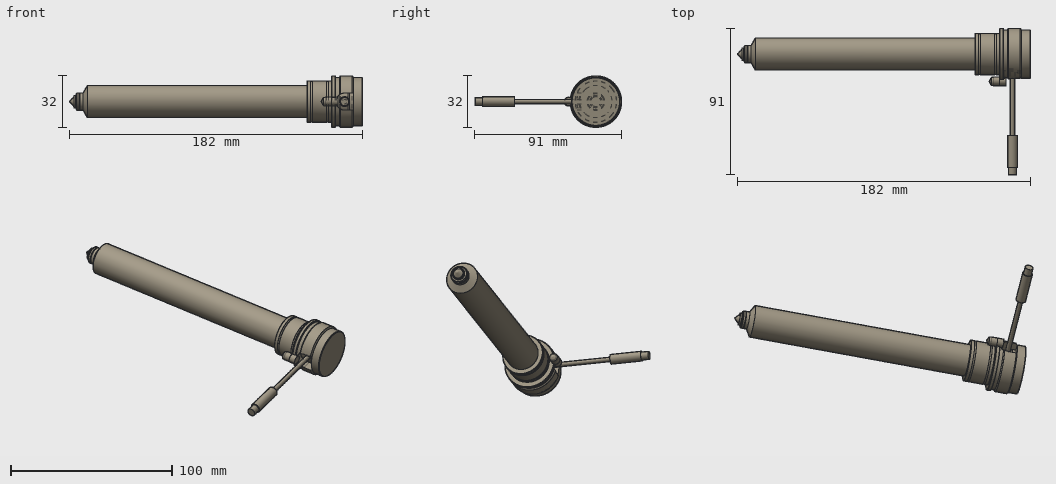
import cadquery as cq


point_radius = 3.1
point_length = 3.0
neck_radius = 3.8
neck_end = 4.0
shank_radius = 5.5
shank_start = 4.4
shank_end = 8.5
shank_chamfer = 0.5
shank_groove_start = 6.2
shank_groove_width = 0.4

tube_radius = 10.0
tube_start = 11.3
collar_radius = 13.0
collar_start = 147.6
collar_chamfer = 0.2
collar_groove_starts = [149.8, 159.8]
collar_groove_width = 1.1
groove_depth = 0.2

flange_radius = 16.0
flange_start = 162.9
flange_end = 165.3
flange_chamfer = 0.27
ring_radius = 15.1
ring_chamfer = 0.4
band_radius = flange_radius
band_start = 167.6
band_end = 176.4
band_taper = 0.7
total_length = 182.0

cable_x = 170.9
recess_radius = 5.3
core_radius = 10.5
core_end = 173.0
step_radius = 11.8
step_start = 174.0

cable_radius = 1.5
cable_seat = core_radius - cable_radius
plug_radius = 3.1
plug_start = 50.5
plug_end = 70.3
contact_radius = 2.5
contact_end = 75.0

pin_y = -17.0
pin_radius = 2.7
pin_start = 156.3
pin_point_radius = 1.8
pin_point_end = 157.2
pin_shoulder_radius = 2.5
pin_shoulder_end = 157.8
pin_taper_end = 159.0
boss_end = 166.9


def turned(profile):
    """Solid of revolution about X from a closed profile of (x, radius) points."""
    return profile.close().revolve(360, (0, 0, 0), (1, 0, 0))


def groove(start, width, radius):
    """Ring to cut from a cylinder of the given radius about the main axis."""
    ring = cq.Workplane("YZ", origin=(start, 0, 0))
    return ring.circle(radius + groove_depth).circle(radius - groove_depth).extrude(width)


def rod_along_y(radius, start, end):
    """Cylinder about the cable axis between two distances towards -Y."""
    return cq.Workplane("XZ", origin=(cable_x, -start, 0)).circle(radius).extrude(end - start)


def make_housing():
    profile = cq.Workplane("XY").polyline([
        (0, 0),
        (point_length, point_radius),
        (point_length, neck_radius),
        (neck_end, neck_radius),
        (shank_start, shank_radius - shank_chamfer),
        (shank_start + shank_chamfer, shank_radius),
        (shank_end, shank_radius),
        (tube_start, tube_radius),
        (collar_start, tube_radius),
        (collar_start, collar_radius - collar_chamfer),
        (collar_start + collar_chamfer, collar_radius),
        (flange_start - collar_chamfer, collar_radius),
        (flange_start, collar_radius - collar_chamfer),
        (flange_start, 0),
    ])
    housing = turned(profile).cut(groove(shank_groove_start, shank_groove_width, shank_radius))
    for start in collar_groove_starts:
        housing = housing.cut(groove(start, collar_groove_width, collar_radius))
    return housing


def make_cap_blank():
    profile = cq.Workplane("XZ").polyline([
        (flange_start, 0),
        (flange_start, flange_radius - flange_chamfer),
        (flange_start + flange_chamfer, flange_radius),
        (flange_end - flange_chamfer, flange_radius),
        (flange_end, flange_radius - flange_chamfer),
        (flange_end, ring_radius),
        (band_start, ring_radius),
        (band_start + band_taper, band_radius),
        (band_end - band_taper, band_radius),
        (band_end, ring_radius),
        (total_length - ring_chamfer, ring_radius),
        (total_length, ring_radius - ring_chamfer),
        (total_length, 0),
    ])
    return turned(profile)


def make_recess():
    """Slot with a round end at the cable, open around a stepped core about the main axis."""
    slot_length = band_end - cable_x
    round_end = rod_along_y(recess_radius, 0, band_radius)
    straight = (
        cq.Workplane("XY", origin=(cable_x, -band_radius, 0))
        .box(slot_length, band_radius, 2 * recess_radius, centered=(False, False, True))
    )
    core = turned(cq.Workplane("XZ").polyline([
        (flange_start, 0),
        (flange_start, core_radius),
        (core_end, core_radius),
        (step_start, step_radius),
        (total_length, step_radius),
        (total_length, 0),
    ]))
    return round_end.union(straight).cut(core)


def make_boss():
    boss = cq.Workplane("YZ", origin=(flange_start, pin_y, 0))
    return boss.circle(pin_radius).extrude(boss_end - flange_start)


def make_cap(cable):
    return make_cap_blank().cut(make_recess()).union(make_boss()).cut(cable)


def make_cable():
    cable = rod_along_y(cable_radius, cable_seat, plug_start)
    plug = rod_along_y(plug_radius, plug_start, plug_end)
    contact = rod_along_y(contact_radius, plug_end, contact_end)
    return cable.union(plug).union(contact)


def make_pin():
    profile = cq.Workplane("XY").polyline([
        (pin_start, 0),
        (pin_point_end, pin_point_radius),
        (pin_shoulder_end, pin_shoulder_radius),
        (pin_taper_end, pin_radius),
        (flange_start, pin_radius),
        (flange_start, 0),
    ])
    return turned(profile).translate((0, pin_y, 0))


housing = make_housing()
cable = make_cable()
cap = make_cap(cable)
pin = make_pin()

result = cq.Compound.makeCompound([housing.val(), cap.val(), cable.val(), pin.val()])